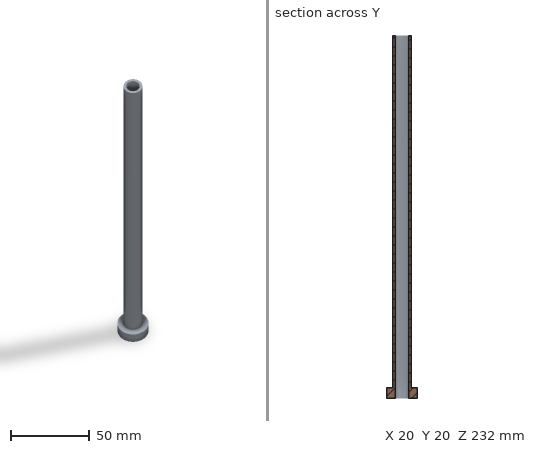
import cadquery as cq

total_length = 232.0
head_diameter = 20.0
head_height = 7.0
shank_diameter = 12.0
bore_diameter = 8.5
neck_fillet_radius = 0.7

head = cq.Workplane("XY").circle(head_diameter / 2).extrude(head_height)
shank = cq.Workplane("XY").circle(shank_diameter / 2).extrude(total_length)
body = head.union(shank)

neck_corner = cq.selectors.BoxSelector(
    (-shank_diameter, -shank_diameter, head_height - neck_fillet_radius),
    (shank_diameter, shank_diameter, head_height + neck_fillet_radius),
)
body = body.edges(neck_corner).edges(cq.selectors.RadiusNthSelector(0)).fillet(neck_fillet_radius)

bore = cq.Workplane("XY").circle(bore_diameter / 2).extrude(total_length)
result = body.cut(bore)